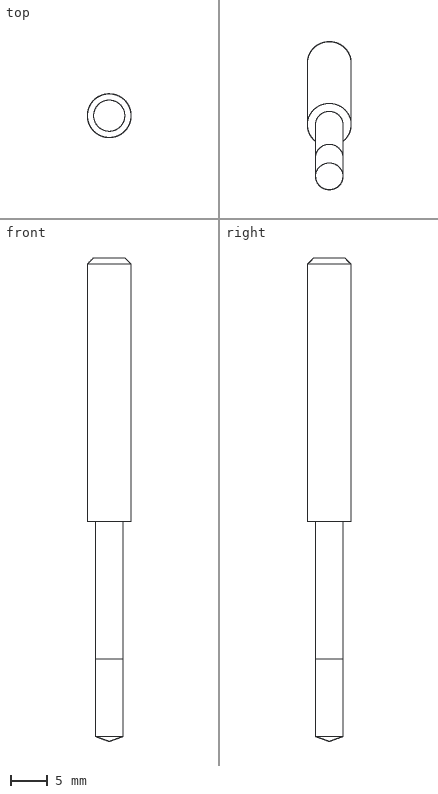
import cadquery as cq
import math

overall_length = 66.0

shank_diameter = 6.0
shank_length = 36.0
shank_chamfer = 0.87

drill_diameter = 3.77
cutting_length = 11.3
point_angle = 140.0

shank_bottom = overall_length - shank_length
neck_length = shank_bottom - cutting_length
drill_radius = drill_diameter / 2
point_height = drill_radius / math.tan(math.radians(point_angle / 2))


def make_holder():
    """Chamfered cylindrical shank with the plain neck below it."""
    shank = (
        cq.Workplane("XY", origin=(0, 0, shank_bottom))
        .circle(shank_diameter / 2)
        .extrude(shank_length)
        .faces(">Z")
        .chamfer(shank_chamfer)
    )
    neck = cq.Workplane("XY", origin=(0, 0, cutting_length)).circle(drill_radius).extrude(neck_length)
    return shank.union(neck)


def make_cutting_part():
    """Cylinder with a conical point, meeting the end face of the neck."""
    half_profile = (
        cq.Workplane("XZ")
        .moveTo(0, 0)
        .lineTo(drill_radius, point_height)
        .lineTo(drill_radius, cutting_length)
        .lineTo(0, cutting_length)
        .close()
    )
    return half_profile.revolve(360, (0, 0, 0), (0, 1, 0))


holder = make_holder()
cutting_part = make_cutting_part()

result = cq.Compound.makeCompound([holder.val(), cutting_part.val()])